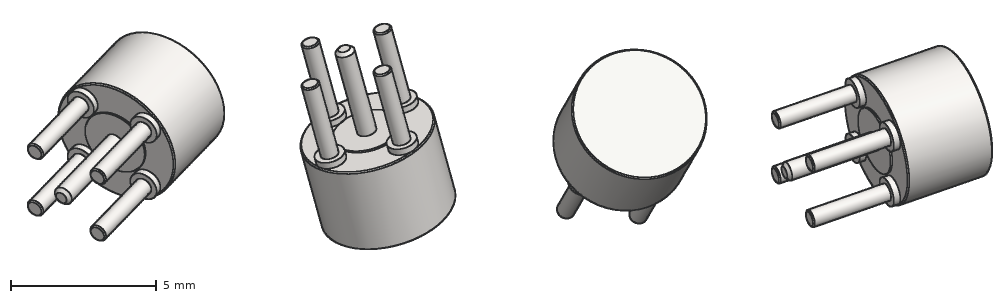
import cadquery as cq

body_diameter = 4.75
body_length = 3.30
body_edge_break = 0.05

insulator_diameter = 2.41
insulator_height = 0.07

pin_pitch = 2.54
pin_diameter = 0.64
pin_tip_height = 3.25
pin_chamfer = 0.05
collar_diameter = 1.07
collar_height = 0.25

overall_length = 6.86
contact_diameter = 0.69
contact_tip_height = overall_length - body_length
contact_chamfer = 0.13


def post(x, z, diameter, height):
    """Cylinder standing on the contact face and pointing toward -Y."""
    return cq.Workplane("XZ").center(x, z).circle(diameter / 2).extrude(height)


def chamfered_pin(x, z, diameter, height, chamfer):
    """Post with a chamfered free end."""
    return post(x, z, diameter, height).faces("<Y").chamfer(chamfer)


def make_body():
    """Plain housing cylinder with both rims lightly broken."""
    cylinder = cq.Workplane("XZ").circle(body_diameter / 2).extrude(-body_length)
    return cylinder.faces("<Y or >Y").chamfer(body_edge_break)


def ground_pin(x, z):
    """Standoff collar and the pin passing through it."""
    collar = post(x, z, collar_diameter, collar_height)
    return collar.union(chamfered_pin(x, z, pin_diameter, pin_tip_height, pin_chamfer))


result = make_body()
result = result.union(post(0, 0, insulator_diameter, insulator_height))
result = result.union(chamfered_pin(0, 0, contact_diameter, contact_tip_height, contact_chamfer))

for x_side in (-1, 1):
    for z_side in (-1, 1):
        result = result.union(ground_pin(x_side * pin_pitch / 2, z_side * pin_pitch / 2))